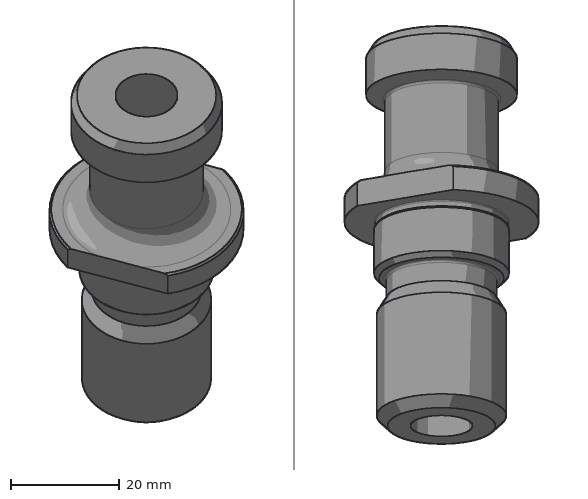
import cadquery as cq
import math

total_height = 74.0
bore_radius = 11.5 / 2

shank_radius = 24.0 / 2
shank_top = 22.0
shank_chamfer = 2.0
shank_cone_height = 2.9

relief_radius = 20.5 / 2
relief_fillet = 0.5

collar_radius = 25.0 / 2
collar_bottom = 29.0
collar_chamfer = 0.95
collar_top_bevel_height = 0.4

undercut_radius = 24.5 / 2
undercut_bottom = 38.85
undercut_fillet = 0.2

flange_radius = 36.0 / 2
flange_bottom = 40.0
flange_thickness = 4.95
flange_chamfer = 0.4
flange_flats_width = 30.0

neck_radius = 21.0 / 2
neck_base_fillet = 5.0
neck_top_fillet = 0.5

head_radius = 28.0 / 2
head_bottom = 65.05
head_cone_angle = math.radians(15)
head_chamfer_width = 1.1
head_chamfer_height = 1.85

shank_cone_top = shank_top + shank_cone_height
collar_top = undercut_bottom - collar_top_bevel_height
flange_top = flange_bottom + flange_thickness
head_cone_bottom = head_bottom - (head_radius - neck_radius) * math.tan(head_cone_angle)

neck_fillet_tangent = neck_top_fillet * math.tan((math.pi / 2 - head_cone_angle) / 2)
neck_top = head_cone_bottom - neck_fillet_tangent
head_cone_start = (
    neck_radius + neck_fillet_tangent * math.cos(head_cone_angle),
    head_cone_bottom + neck_fillet_tangent * math.sin(head_cone_angle),
)


def turned_body():
    """Half section in (radius, height), from the bottom face up to the head, revolved about Z."""
    section = (
        cq.Workplane("XZ")
        .moveTo(bore_radius, 0)
        .lineTo(shank_radius - shank_chamfer, 0)
        .lineTo(shank_radius, shank_chamfer)
        .lineTo(shank_radius, shank_top)
        .lineTo(relief_radius, shank_cone_top)
        .lineTo(relief_radius, collar_bottom - relief_fillet)
        .radiusArc((relief_radius + relief_fillet, collar_bottom), relief_fillet)
        .lineTo(collar_radius - collar_chamfer, collar_bottom)
        .lineTo(collar_radius, collar_bottom + collar_chamfer)
        .lineTo(collar_radius, collar_top)
        .lineTo(undercut_radius, undercut_bottom)
        .lineTo(undercut_radius, flange_bottom - undercut_fillet)
        .radiusArc((undercut_radius + undercut_fillet, flange_bottom), undercut_fillet)
        .lineTo(flange_radius, flange_bottom)
        .lineTo(flange_radius, flange_top - flange_chamfer)
        .lineTo(flange_radius - flange_chamfer, flange_top)
        .lineTo(neck_radius + neck_base_fillet, flange_top)
        .radiusArc((neck_radius, flange_top + neck_base_fillet), neck_base_fillet)
        .lineTo(neck_radius, neck_top)
        .radiusArc(head_cone_start, neck_top_fillet)
        .lineTo(head_radius, head_bottom)
        .lineTo(head_radius, total_height - head_chamfer_height)
        .lineTo(head_radius - head_chamfer_width, total_height)
        .lineTo(bore_radius, total_height)
        .close()
    )
    return section.revolve(360, (0, 0, 0), (0, 1, 0))


def flats_envelope():
    """Block whose Y faces are the two wrench flats; only the flange reaches past it."""
    return cq.Workplane("XY").box(
        2 * flange_radius, flange_flats_width, total_height, centered=(True, True, False)
    )


result = turned_body().intersect(flats_envelope())